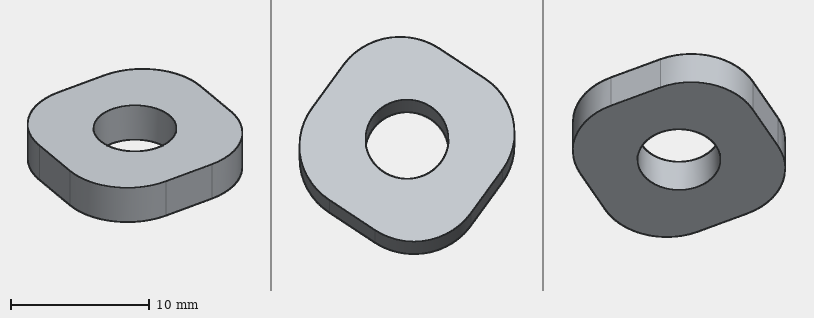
import cadquery as cq

side = 14.0
thickness = 3.0
corner_radius = 5.0
hole_diameter = 6.0

plate = cq.Workplane("XY").rect(side, side).extrude(thickness)

rounded_plate = plate.edges("|Z").fillet(corner_radius)

result = rounded_plate.faces(">Z").workplane().hole(hole_diameter)